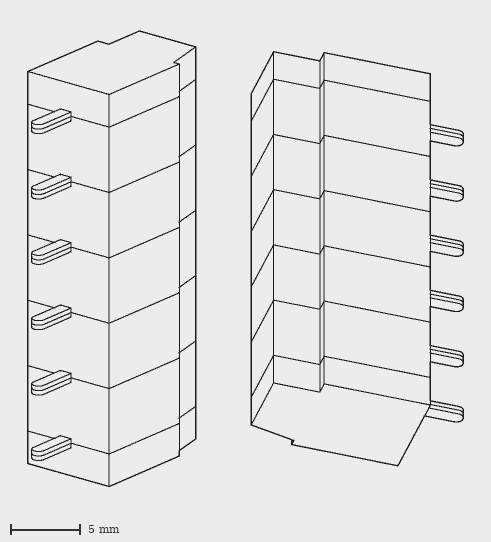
import cadquery as cq


strip_height = 30.0
pin_count = 6
pitch = strip_height / pin_count
end_height = pitch / 2

housing_width = 7.5
left_to_pin_axis = 3.5
shoulder_depth = 8.0
housing_depth = 11.5
left_step = 1.02
right_step = 0.5
rear_taper = 0.78

left_x = -left_to_pin_axis
right_x = left_x + housing_width

pin_length = 3.6
pin_width = 1.0
pin_thickness = 0.7
half_pin_thickness = pin_thickness / 2
tip_radius = pin_width / 2


def housing_block(bottom, height):
    """Stepped housing profile with one tapered rear side."""
    return (
        cq.Workplane("XY", origin=(0, 0, bottom))
        .moveTo(left_x, 0)
        .lineTo(right_x, 0)
        .lineTo(right_x, shoulder_depth)
        .lineTo(right_x - right_step, shoulder_depth)
        .lineTo(right_x - right_step - rear_taper, housing_depth)
        .lineTo(left_x + left_step, housing_depth)
        .lineTo(left_x + left_step, shoulder_depth)
        .lineTo(left_x, shoulder_depth)
        .close()
        .extrude(height)
    )


def half_pin(bottom):
    """Half the thickness of a flat pin with a round tip, standing on the front face."""
    straight_end = tip_radius - pin_length
    return (
        cq.Workplane("XY", origin=(0, 0, bottom))
        .moveTo(-tip_radius, 0)
        .lineTo(-tip_radius, straight_end)
        .threePointArc((0, -pin_length), (tip_radius, straight_end))
        .lineTo(tip_radius, 0)
        .close()
        .extrude(half_pin_thickness)
    )


def lower_end_segment():
    """Half-pitch segment with a half pin along its top joint."""
    return housing_block(0, end_height).union(half_pin(end_height - half_pin_thickness))


def middle_segment(bottom):
    """Full-pitch segment with a half pin along each of its two joints."""
    top = bottom + pitch
    return (
        housing_block(bottom, pitch)
        .union(half_pin(bottom))
        .union(half_pin(top - half_pin_thickness))
    )


def upper_end_segment():
    """Half-pitch segment with a half pin along its bottom joint."""
    bottom = strip_height - end_height
    return housing_block(bottom, end_height).union(half_pin(bottom))


lower_end = lower_end_segment()
middle_segments = [middle_segment(end_height + i * pitch) for i in range(pin_count - 1)]
upper_end = upper_end_segment()

result = cq.Compound.makeCompound(
    [lower_end.val(), *[segment.val() for segment in middle_segments], upper_end.val()]
)